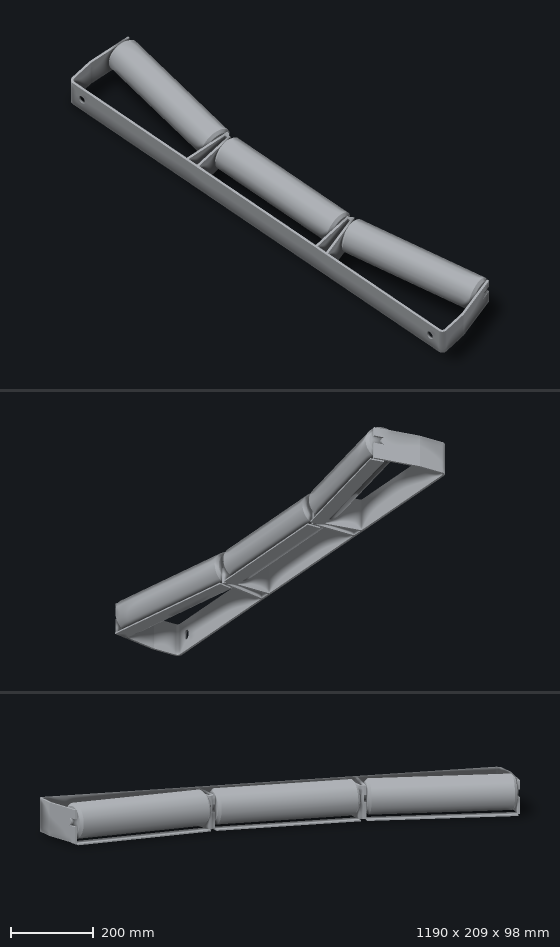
import cadquery as cq
import math

frame_length = 1190.0
frame_height = 82.0
strip_thickness = 6.0
corner_radius = 13.0

mount_hole_x = 553.0
mount_hole_width = 18.0
mount_hole_height = 25.0

roller_radius = 44.0
roller_length = 367.0
roller_chamfer = 7.0
shaft_diameter = 19.0
axis_height = 50.0
leg_gap = 371.0
middle_axis_y = 100.0
outer_roller_x = 390.0
outer_axis_y = 135.0
tilt = 10.0

straight_leg_reach = 24.0
tilted_leg_reach = 29.0
slot_cut_length = 36.0

plate_width = 36.0
plate_thickness = 4.0

half_frame = frame_length / 2
half_gap = leg_gap / 2
leg_outside = half_gap + strip_thickness
tilt_sin = math.sin(math.radians(tilt))
tilt_cos = math.cos(math.radians(tilt))

stations = [
    (-outer_roller_x, outer_axis_y, -tilt),
    (0.0, middle_axis_y, 0.0),
    (outer_roller_x, outer_axis_y, tilt),
]


def at_station(body, station):
    """Move a body built around the origin, lengthwise along X, to a roller station."""
    x, y, turn = station
    return body.rotate((0, 0, 0), (0, 0, 1), turn).translate((x, y, 0))


def tilted_point(along, across):
    """Point on the right-hand side, measured along and across the tilted roller axis."""
    x = outer_roller_x + along * tilt_cos - across * tilt_sin
    y = outer_axis_y + along * tilt_sin + across * tilt_cos
    return (x, y)


def tilted_face_at_y(along, y):
    """Point where a leg face at a given place along the tilted axis reaches y."""
    across = (y - outer_axis_y - along * tilt_sin) / tilt_cos
    return tilted_point(along, across)


def tilted_face_at_x(along, x):
    """Point where a leg face at a given place along the tilted axis reaches x."""
    across = (outer_roller_x + along * tilt_cos - x) / tilt_sin
    return tilted_point(along, across)


def on_side(points, side):
    """Points of the right-hand side, or their mirror images when side is -1."""
    return [(side * x, y) for x, y in points]


def make_shaft_slots():
    """Cutters for the round-bottomed slots that the roller shafts drop into."""
    length = 2 * leg_outside
    slot = (
        cq.Workplane("YZ", origin=(-leg_outside, 0, axis_height))
        .circle(shaft_diameter / 2)
        .extrude(length)
    )
    opening = cq.Workplane("XY").box(length, slot_cut_length, shaft_diameter)
    slot = slot.union(opening.translate((0, slot_cut_length / 2, axis_height)))
    return [at_station(slot, station) for station in stations]


def cut_shaft_slots(body):
    for slot in make_shaft_slots():
        body = body.cut(slot)
    return body


def make_frame():
    inside_x = half_frame - strip_thickness
    right_leg = [
        (half_frame, 0),
        tilted_face_at_x(leg_outside, half_frame),
        tilted_point(leg_outside, tilted_leg_reach),
        tilted_point(half_gap, tilted_leg_reach),
        tilted_face_at_x(half_gap, inside_x),
        (inside_x, strip_thickness),
    ]
    left_leg = on_side(reversed(right_leg), -1)
    frame = cq.Workplane("XY").polyline(right_leg + left_leg).close().extrude(frame_height)

    for side in (-1, 1):
        outer_corner = cq.selectors.NearestToPointSelector((side * half_frame, 0, frame_height / 2))
        frame = frame.edges(outer_corner).fillet(corner_radius)
        inner_point = (side * inside_x, strip_thickness, frame_height / 2)
        inner_corner = cq.selectors.NearestToPointSelector(inner_point)
        frame = frame.edges(inner_corner).fillet(corner_radius - strip_thickness)

    mount_holes = (
        cq.Workplane("XZ", origin=(0, strip_thickness, frame_height / 2))
        .pushPoints([(-mount_hole_x, 0), (mount_hole_x, 0)])
        .slot2D(mount_hole_height, mount_hole_width, 90)
        .extrude(strip_thickness)
    )
    return cut_shaft_slots(frame.cut(mount_holes))


def make_bracket(side):
    """Bent strip between two rollers: a straight leg, a short bridge and a tilted leg."""
    top_y = middle_axis_y + straight_leg_reach
    bridge_y = top_y - strip_thickness
    outline = [
        (half_gap, strip_thickness),
        (half_gap, top_y),
        (leg_outside, top_y),
        tilted_point(-leg_outside, tilted_leg_reach),
        tilted_point(-half_gap, tilted_leg_reach),
        tilted_face_at_y(-half_gap, strip_thickness),
        tilted_face_at_y(-leg_outside, strip_thickness),
        tilted_face_at_y(-leg_outside, bridge_y),
        (leg_outside, bridge_y),
        (leg_outside, strip_thickness),
    ]
    bracket = cq.Workplane("XY").polyline(on_side(outline, side)).close().extrude(frame_height)
    return cut_shaft_slots(bracket)


def make_roller(station):
    """Roller with chamfered rims and a shaft that ends flush with the legs."""
    drum = (
        cq.Workplane("YZ", origin=(-roller_length / 2, 0, axis_height))
        .circle(roller_radius)
        .extrude(roller_length)
        .edges()
        .chamfer(roller_chamfer)
    )
    shaft = (
        cq.Workplane("YZ", origin=(-leg_outside, 0, axis_height))
        .circle(shaft_diameter / 2)
        .extrude(2 * leg_outside)
    )
    return at_station(drum.union(shaft), station)


def make_plate(station):
    """Flat plate just below the underside of the legs, from the roller axis forward."""
    plate = cq.Workplane("XY").box(leg_gap, plate_width, plate_thickness)
    plate = plate.translate((0, plate_width / 2, -plate_thickness / 2))
    return at_station(plate, station)


frame = make_frame()
brackets = [make_bracket(side) for side in (-1, 1)]
rollers = [make_roller(station) for station in stations]
plates = [make_plate(station) for station in stations]

bodies = [frame, *brackets, *rollers, *plates]
result = cq.Compound.makeCompound([body.solids().val() for body in bodies])